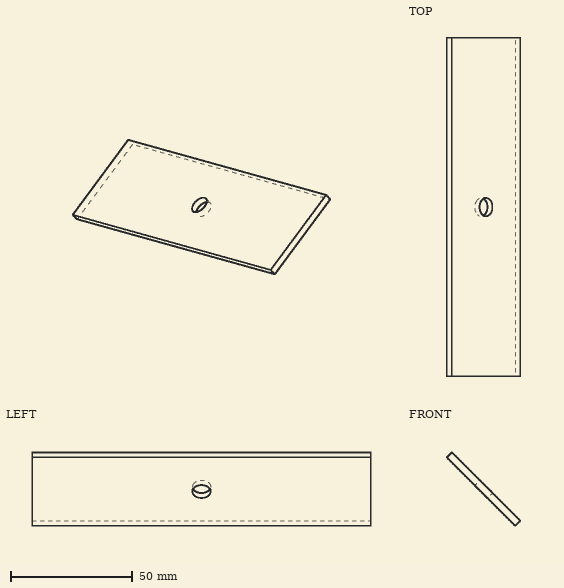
import cadquery as cq

bar_length = 140.0
bar_width = 40.0
bar_thickness = 3.0
tilt_angle = 45.0

hole_diameter = 7.5


def make_flat_bar():
    """Bar lying flat, centred on the origin, with its long side along Y."""
    bar = cq.Workplane("XY").box(bar_width, bar_length, bar_thickness)
    return bar.faces(">Z").workplane().hole(hole_diameter)


result = make_flat_bar().rotate((0, 0, 0), (0, 1, 0), tilt_angle)